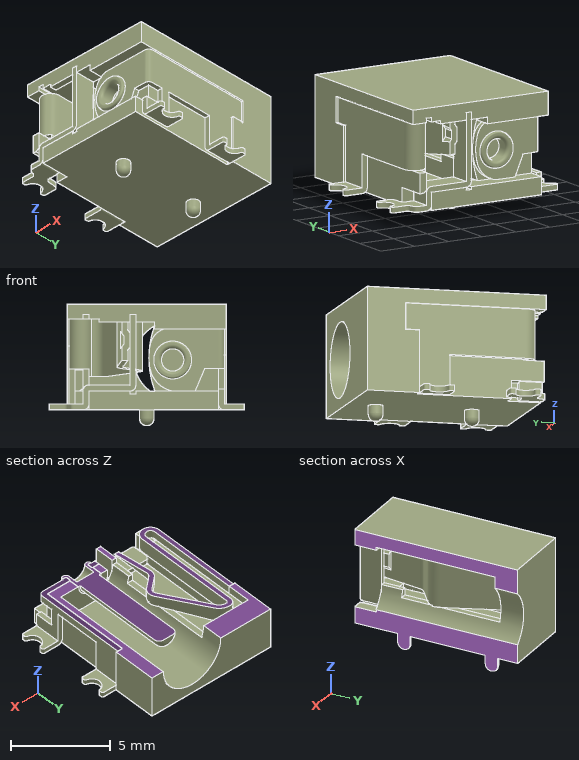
import cadquery as cq


WIDTH = 8.0
LENGTH = 9.3
HEIGHT = 5.3
HALF_WIDTH = WIDTH / 2
FLOOR_TOP = 0.94
LOW_CEILING = 4.06
MID_CEILING = 4.4
HIGH_CEILING = 4.56
CEILING_STEP_X = 0.4
LIP_START_X = -2.39
LIP_DEPTH = 0.4

SHEET = 0.3
SIDE_OUTER = 3.9
SIDE_INNER = SIDE_OUTER - SHEET
BEND_RADIUS = 0.28
SIDE_PLATE_LOW = 2.04
TAB_REAR = 7.3
PLUG_TAB_LOW = 3.21
PIN_TAB_LOW = 2.75

PAD_TIP = 4.9
PAD_WIDTH = 1.6
FRONT_PAD_Y = 0.5
PAD_PITCH = 4.48
REAR_PAD_Y = FRONT_PAD_Y + PAD_PITCH
REAR_PAD_END = REAR_PAD_Y + PAD_WIDTH
PAD_NOTCH_RADIUS = 0.5
PAD_CORNER = 0.1

PIN_X = 1.3
PIN_Z = 2.5
BORE_RADIUS = 1.93
HEAD_RADIUS = 0.95
HEAD_HOLE_RADIUS = 0.56
HEAD_HOLE_DEPTH = 0.8
HEAD_FLARE = 0.2
HEAD_ROUND = 0.1
HEAD_FRONT = 0.45
STEM_RADIUS = 0.75
PIN_RADIUS = 0.65
PIN_REAR = 7.5
PLATE_FRONT = 0.64
PLATE_BACK = PLATE_FRONT + SHEET
PLATE_LEFT = 0.1
PLATE_LEFT_Z = 2.6
WALL_BACK = 1.6

SWITCH_LENGTH = 1.21
CHAMBER_LEFT = -2.9
CHAMBER_RIGHT = -0.85
CHAMBER_BACK = 8.0
LEDGE_TOP = 1.8
LEDGE_FRONT_TOP = 2.2
LEDGE_FRONT_END = 2.4
ROLL_ROOM = 1.08
FRONT_POST_TOP = 2.0
POST_BEVEL_WIDTH = 0.2
POST_BEVEL_HEIGHT = 0.12
SIDE_GAP_END = 1.7

SWITCH_LEG_X = CHAMBER_LEFT - SHEET
SWITCH_BLADE_X = CHAMBER_RIGHT
SWITCH_BLADE_TOP = 4.79
SWITCH_SLOT_LOW = 0.79
NECK_RADIUS = 0.25
NECK_X = -3.9

SPRING_LOW = 1.67
SPRING_TIP_LOW = 1.95
SLOPE_START_X = -2.0
TIP_LEFT = -1.7
TIP_X = -1.07
TIP_Y = 0.9
TIP_HEEL_X = -1.37
TIP_HEEL_Y = 3.3
TIP_LOW = 2.48
TIP_HEEL_LOW = 2.12
ROLL_RADIUS = 0.42
BOW_RADIUS = 0.45
BOW_X = -0.22
BOW_Y = 4.3
TURN_BACK_Y = 7.6
TURN_LEFT_RADIUS = 0.27
TURN_RIGHT_X = -2.25
TURN_RIGHT_RADIUS = 0.66
ROLL_FRONT = 0.42
ROLL_FRONT_Y = ROLL_FRONT + SHEET / 2
RIB_Z = 3.5
RIB_LENGTH = 0.6
RIB_HALF_HEIGHT = 0.37
RIB_RISE = 0.1
RIB_BEVEL = 0.13
GROOVE_HALF_HEIGHT = 0.21

PEG_RADIUS = 0.37
PEG_TIP_RADIUS = 0.36
PEG_LENGTH = 0.8
PEG_YS = (2.8, 7.8)


def box(x0, x1, y0, y1, z0, z1):
    return cq.Workplane("XY").box(x1 - x0, y1 - y0, z1 - z0, centered=False).translate((x0, y0, z0))


def front_prism(outline, y0, y1):
    """Extrude a closed XZ outline from y0 to y1."""
    return outline.extrude(y0 - y1).translate((0, y0, 0))


def side_prism(points, x0, x1):
    """Extrude a YZ polygon from x0 to x1."""
    return cq.Workplane("YZ").polyline(points).close().extrude(x1 - x0).translate((x0, 0, 0))


def pin_cylinder(radius, y0, y1):
    return front_prism(cq.Workplane("XZ").center(PIN_X, PIN_Z).circle(radius), y0, y1)


def pad(inner_x, y0):
    """Right-hand solder pad with a round notch between two rounded prongs."""
    notch = (
        cq.Workplane("XY").center(PAD_TIP, y0 + PAD_WIDTH / 2).circle(PAD_NOTCH_RADIUS).extrude(SHEET)
    )
    plate = box(inner_x, PAD_TIP, y0, y0 + PAD_WIDTH, 0, SHEET).cut(notch)
    return plate.edges("|Z and >X").fillet(PAD_CORNER)


def side_leg(y0, y1, top):
    """Right-hand upright that bends outwards at its foot."""
    return box(SIDE_INNER, SIDE_OUTER, y0, y1, 0, top).edges("|Y and <X and <Z").fillet(BEND_RADIUS)


def side_plate(front, low, tab_low, top):
    """Right-hand side plate with its rear anchoring tab and rear pad."""
    plate = box(SIDE_INNER, SIDE_OUTER, front, REAR_PAD_END, low, top)
    tab = box(SIDE_INNER, SIDE_OUTER, REAR_PAD_Y, TAB_REAR, tab_low, top)
    leg = side_leg(REAR_PAD_Y, REAR_PAD_END, top)
    return plate.union(tab).union(leg).union(pad(SIDE_OUTER, REAR_PAD_Y))


def side_recess(tab_low, top):
    """Right-hand recess in the housing for a side plate."""
    outline = [
        (0, 0), (REAR_PAD_END, 0), (REAR_PAD_END, tab_low),
        (TAB_REAR, tab_low), (TAB_REAR, top), (0, top),
    ]
    return side_prism(outline, SIDE_INNER, HALF_WIDTH)


def mirrored(body):
    return body.mirror("YZ")


def pin_wall_outline():
    """The left edge of the wall behind the pin terminal bows outwards."""
    return (
        cq.Workplane("XZ")
        .moveTo(CEILING_STEP_X, FLOOR_TOP)
        .threePointArc((PLATE_LEFT, PLATE_LEFT_Z), (CEILING_STEP_X, 2 * PLATE_LEFT_Z - FLOOR_TOP))
        .lineTo(CEILING_STEP_X, MID_CEILING)
        .lineTo(SIDE_INNER, MID_CEILING)
        .lineTo(SIDE_INNER, FLOOR_TOP)
        .close()
    )


def make_housing():
    body = box(-HALF_WIDTH, HALF_WIDTH, 0, LENGTH, 0, HEIGHT)
    for peg_y in PEG_YS:
        peg = cq.Workplane("XY").center(0, peg_y).circle(PEG_RADIUS).extrude(-PEG_LENGTH)
        body = body.union(peg.faces("<Z").edges().fillet(PEG_TIP_RADIUS))

    body = body.cut(mirrored(side_recess(PLUG_TAB_LOW, HIGH_CEILING)))
    body = body.cut(side_recess(PIN_TAB_LOW, LOW_CEILING))

    body = body.cut(box(CHAMBER_LEFT, CEILING_STEP_X, 0, SWITCH_LENGTH, FLOOR_TOP, MID_CEILING))
    body = body.cut(box(CEILING_STEP_X, HALF_WIDTH, 0, PLATE_BACK, FLOOR_TOP, LOW_CEILING))
    body = body.cut(box(-HALF_WIDTH, LIP_START_X, 0, ROLL_ROOM, SIDE_PLATE_LOW, HIGH_CEILING))
    body = body.cut(box(-SIDE_INNER, CHAMBER_LEFT, 0, ROLL_ROOM, FRONT_POST_TOP, SIDE_PLATE_LOW))
    body = body.cut(box(SWITCH_LEG_X, CHAMBER_LEFT, 0, SWITCH_LENGTH, FLOOR_TOP, SIDE_PLATE_LOW))

    body = body.cut(box(CHAMBER_LEFT, CHAMBER_RIGHT, LIP_DEPTH, CHAMBER_BACK, FLOOR_TOP, HIGH_CEILING))
    body = body.cut(box(-SIDE_INNER, CHAMBER_LEFT, 0, CHAMBER_BACK, SIDE_PLATE_LOW, HIGH_CEILING))
    for start, ledge_top in ((SWITCH_LENGTH, LEDGE_FRONT_TOP), (LEDGE_FRONT_END, LEDGE_TOP)):
        body = body.cut(box(CHAMBER_RIGHT, CEILING_STEP_X, start, CHAMBER_BACK, ledge_top, HIGH_CEILING))
    body = body.cut(pin_cylinder(BORE_RADIUS, SWITCH_LENGTH, LENGTH))

    wall = front_prism(pin_wall_outline(), PLATE_BACK, WALL_BACK)
    body = body.union(wall).cut(pin_cylinder(STEM_RADIUS, PLATE_BACK, WALL_BACK))

    body = body.cut(box(-SIDE_INNER, CHAMBER_LEFT, 0, SIDE_GAP_END, 0, FLOOR_TOP))
    blade_right = SWITCH_BLADE_X + SHEET
    body = body.cut(box(SWITCH_BLADE_X, blade_right, 0, SWITCH_LENGTH, SWITCH_SLOT_LOW, SWITCH_BLADE_TOP))
    post_corner = cq.Workplane("XZ").polyline([
        (SWITCH_LEG_X, FLOOR_TOP), (SWITCH_LEG_X - POST_BEVEL_WIDTH, FLOOR_TOP),
        (SWITCH_LEG_X, FLOOR_TOP + POST_BEVEL_HEIGHT),
    ]).close()
    body = body.cut(front_prism(post_corner, 0, SWITCH_LENGTH))
    body = body.cut(box(SWITCH_LEG_X, CHAMBER_LEFT, 0, SWITCH_LENGTH, HIGH_CEILING, SWITCH_BLADE_TOP))
    return body


def make_pin():
    head = pin_cylinder(HEAD_RADIUS, HEAD_FRONT, PLATE_FRONT)
    head = head.faces("<Y").edges().fillet(HEAD_ROUND)
    stem = pin_cylinder(STEM_RADIUS, PLATE_FRONT, WALL_BACK)
    tip = pin_cylinder(PIN_RADIUS, WALL_BACK, PIN_REAR)
    tip = tip.faces(">Y").edges().fillet(PIN_RADIUS / 2)
    hole = pin_cylinder(HEAD_HOLE_RADIUS, HEAD_FRONT, HEAD_FRONT + HEAD_HOLE_DEPTH)
    body = head.union(stem).union(tip).cut(hole)
    mouth = cq.selectors.RadiusNthSelector(0)
    return body.faces("<Y").edges(mouth).fillet(HEAD_FLARE)


def make_pin_terminal():
    low_edge = 2.07
    slant_foot_x = 2.43
    slant_top_x = 2.91
    foot_top = 1.05
    foot_back = FRONT_PAD_Y + PAD_WIDTH
    foot_web_front = 1.6
    upper_start = (0.9, LOW_CEILING)
    upper_middle = (0.45, 3.8)
    upper_end = (0.2, 3.35)
    lower_start = (0.24, 1.8)
    lower_middle = (0.62, 1.27)
    lower_end = (1.3, FLOOR_TOP)
    outline = (
        cq.Workplane("XZ")
        .moveTo(*upper_start)
        .threePointArc(upper_middle, upper_end)
        .threePointArc((PLATE_LEFT, PLATE_LEFT_Z), lower_start)
        .threePointArc(lower_middle, lower_end)
        .lineTo(slant_foot_x, FLOOR_TOP)
        .lineTo(slant_top_x, low_edge)
        .lineTo(SIDE_OUTER, low_edge)
        .lineTo(SIDE_OUTER, LOW_CEILING)
        .close()
    )
    front = front_prism(outline, PLATE_FRONT, PLATE_BACK)
    front = front.cut(pin_cylinder(STEM_RADIUS, PLATE_FRONT, PLATE_BACK))
    body = front.union(side_plate(PLATE_FRONT, low_edge, PIN_TAB_LOW, LOW_CEILING))
    mid_sheet = SIDE_INNER + SHEET / 2
    bend = cq.selectors.BoxSelector((mid_sheet, 0, low_edge), (PAD_TIP, PLATE_BACK, LOW_CEILING))
    body = body.edges(bend).edges("|Z").fillet(BEND_RADIUS)
    body = body.union(side_leg(FRONT_PAD_Y, foot_back, foot_top))
    body = body.union(box(SIDE_INNER, SIDE_OUTER, foot_web_front, foot_back, foot_top, low_edge))
    return body.union(pad(SIDE_OUTER, FRONT_PAD_Y))


def make_switch_contact():
    shelf_top = FLOOR_TOP + SHEET
    blade_right = SWITCH_BLADE_X + SHEET
    leg = box(SWITCH_LEG_X, CHAMBER_LEFT, 0, SWITCH_LENGTH, 0, shelf_top)
    leg = leg.edges("|Y and >X and <Z").fillet(BEND_RADIUS)
    leg = leg.edges("|Y and <X and >Z").fillet(BEND_RADIUS)
    shelf = box(CHAMBER_LEFT, SWITCH_BLADE_X, 0, SWITCH_LENGTH, FLOOR_TOP, shelf_top)
    blade = box(SWITCH_BLADE_X, blade_right, 0, SWITCH_LENGTH, FLOOR_TOP, SWITCH_BLADE_TOP)
    blade = blade.edges("|Y and >X and <Z").fillet(BEND_RADIUS)

    pad_back = FRONT_PAD_Y + PAD_WIDTH
    hollow_x = NECK_X - NECK_RADIUS
    crown_x = NECK_X + NECK_RADIUS
    neck = (
        cq.Workplane("XY")
        .moveTo(hollow_x, FRONT_PAD_Y)
        .spline([(NECK_X, FRONT_PAD_Y / 2), (crown_x, 0)], tangents=[(1, 0), (1, 0)], includeCurrent=True)
        .lineTo(SWITCH_LEG_X, 0)
        .lineTo(SWITCH_LEG_X, SWITCH_LENGTH)
        .lineTo(crown_x, SWITCH_LENGTH)
        .spline([(hollow_x, pad_back)], tangents=[(-1, 0), (-1, 0)], includeCurrent=True)
        .close()
        .extrude(SHEET)
    )
    tip = mirrored(pad(-hollow_x, FRONT_PAD_Y))
    return leg.union(shelf).union(blade).union(neck).union(tip)


def tip_rib(left, right, half_height):
    """Short rib along the free end, narrowing towards its right face."""
    slope = RIB_BEVEL / RIB_RISE
    left_half = half_height + slope * (right - left)
    outline = cq.Workplane("XZ").polyline([
        (left, RIB_Z - left_half), (right, RIB_Z - half_height),
        (right, RIB_Z + half_height), (left, RIB_Z + left_half),
    ]).close()
    return front_prism(outline, TIP_Y, TIP_Y + RIB_LENGTH)


def make_plug_spring():
    plate_x = -SIDE_OUTER + SHEET / 2
    roll_end_y = ROLL_FRONT_Y + ROLL_RADIUS
    roll_x = plate_x + ROLL_RADIUS
    strand_x = plate_x + 2 * ROLL_RADIUS

    def at(x, y):
        return cq.Vector(x, y, SPRING_LOW)

    start = cq.Edge.makeLine(at(plate_x, REAR_PAD_Y), at(plate_x, roll_end_y))
    roll = cq.Edge.makeThreePointArc(
        at(plate_x, roll_end_y), at(roll_x, ROLL_FRONT_Y), at(strand_x, roll_end_y)
    )

    turns = [
        (at(strand_x, TURN_BACK_Y), TURN_LEFT_RADIUS),
        (at(TURN_RIGHT_X, TURN_BACK_Y), TURN_RIGHT_RADIUS),
        (at(BOW_X, BOW_Y), BOW_RADIUS),
        (at(TIP_HEEL_X, TIP_HEEL_Y), BOW_RADIUS),
    ]
    corners = [corner for corner, _ in turns]
    strand = cq.Wire.makePolygon([at(strand_x, roll_end_y), *corners, at(TIP_X, TIP_Y - SHEET)])
    for corner, radius in turns:
        nearest = min(strand.Vertices(), key=lambda vertex: (vertex.Center() - corner).Length)
        strand = strand.fillet2D(radius, [nearest])
    path = cq.Wire.assembleEdges([start, roll, *strand.Edges()])
    strip_height = HIGH_CEILING - SPRING_LOW
    strip = (
        cq.Workplane("XZ", origin=(plate_x, REAR_PAD_Y, SPRING_LOW))
        .center(0, strip_height / 2)
        .rect(SHEET, strip_height)
        .sweep(cq.Workplane(path))
    )

    silhouette = (
        cq.Workplane("XZ")
        .polyline([
            (-SIDE_OUTER, HIGH_CEILING), (-SIDE_OUTER, SIDE_PLATE_LOW), (CHAMBER_LEFT, SIDE_PLATE_LOW),
            (CHAMBER_LEFT, SPRING_LOW), (SLOPE_START_X, SPRING_LOW), (0, SPRING_TIP_LOW), (0, HIGH_CEILING),
        ])
        .close()
    )
    strip = strip.intersect(front_prism(silhouette, 0, LENGTH))

    tip_cut = [
        (0, 0), (0, HIGH_CEILING), (TIP_Y, HIGH_CEILING), (TIP_Y, TIP_LOW),
        (TIP_HEEL_Y, TIP_HEEL_LOW), (BOW_Y, SPRING_TIP_LOW), (BOW_Y, 0),
    ]
    strip = strip.cut(side_prism(tip_cut, TIP_LEFT, 0))
    groove_x = SWITCH_BLADE_X - SHEET
    rib = tip_rib(SWITCH_BLADE_X - 2 * RIB_RISE, SWITCH_BLADE_X, RIB_HALF_HEIGHT)
    groove = tip_rib(TIP_LEFT, groove_x, GROOVE_HALF_HEIGHT)
    strip = strip.union(rib).cut(groove)
    return strip.union(mirrored(side_plate(REAR_PAD_Y, SIDE_PLATE_LOW, PLUG_TAB_LOW, HIGH_CEILING)))


housing = make_housing()
pin = make_pin()
pin_terminal = make_pin_terminal()
switch_contact = make_switch_contact()
plug_spring = make_plug_spring()

bodies = [housing, pin, pin_terminal, switch_contact, plug_spring]
result = cq.Compound.makeCompound([body.solids().val() for body in bodies])